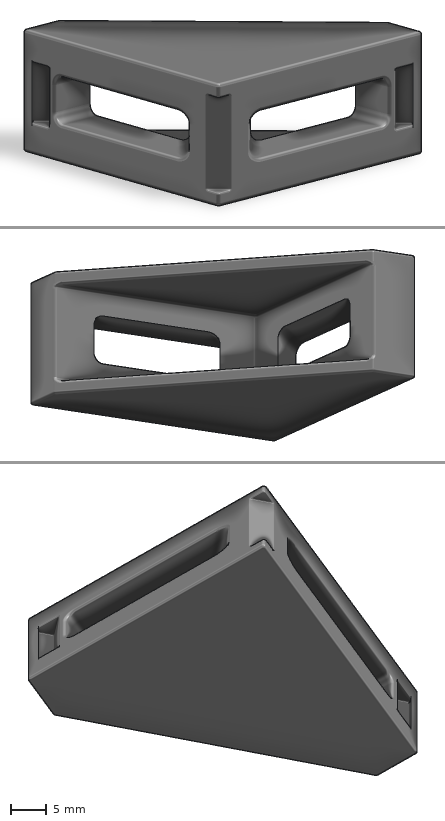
import cadquery as cq
import math

SIZE = 40.0
HEIGHT = 18.0
LEG = 7.0
EDGE_FILLET = 0.5

POCKET_HEIGHT = 14.0

SLOT_HEIGHT = 7.0
SLOT_CORNER_RADIUS = 1.5
SLOT_START = 6.5
SLOT_END = 34.0

KEY_HEIGHT = 9.0
KEY_START = 1.95
KEY_OPENING = 3.55
KEY_DEPTH = 3.4

NOTCH_HEIGHT = 14.0
NOTCH_LEG = 2.55

SMALL_RIM_FILLET = 0.25
SMALL_CORNER_FILLET = 0.2

HALF = SIZE / 2
FLOOR = -HALF + LEG
CUT_MARGIN = 5.0
TOUCH = 0.01
DIAGONAL = math.sqrt(0.5)


def prism(points, height):
    """Extrude an XY outline symmetrically about the mid plane."""
    return cq.Workplane("XY").polyline(points).close().extrude(height / 2, both=True)


def other_leg(shape):
    """Mirror (x, y) to (-y, -x), which swaps the lower leg and the leg along +X."""
    return shape.mirror("YZ").rotate((0, 0, 0), (0, 0, 1), 90)


def edges_in_box(body, low, high):
    """Edges whose midpoints lie between two opposite corners of a box."""
    return body.edges(cq.selectors.BoxSelector(low, high))


def make_body():
    """Square block with one corner cut off at 45 degrees."""
    return prism(
        [(-HALF, -HALF), (HALF, -HALF), (HALF, HALF), (-FLOOR, HALF), (-HALF, FLOOR)],
        HEIGHT,
    )


def make_pocket():
    """Square cutter whose two inner sides are the pocket floors on the legs."""
    reach = HALF + CUT_MARGIN
    pocket = prism([(-reach, FLOOR), (-FLOOR, FLOOR), (-FLOOR, reach), (-reach, reach)], POCKET_HEIGHT)
    return pocket.faces("<Y or >X").edges().fillet(EDGE_FILLET)


def round_outer_edges(body):
    """Round the outline, the top and bottom borders and the rim of the pocket."""
    outer_faces = body.faces("<X or >X or <Y or >Y or <Z or >Z or >(-1, 1, 0)")
    return outer_faces.edges().fillet(EDGE_FILLET)


def cut_slot(body):
    """Screw slot through the lower leg, with a 45 degree end towards the corner."""
    start = -HALF + SLOT_START
    end = -HALF + SLOT_END
    outside = -HALF - CUT_MARGIN
    slot = prism(
        [(start, outside), (end + CUT_MARGIN, outside), (end - LEG, FLOOR), (start, FLOOR)],
        SLOT_HEIGHT,
    )
    slot = slot.edges("(not |Z) and (not |X)").fillet(SLOT_CORNER_RADIUS)
    rim_low = (start - EDGE_FILLET, -HALF - TOUCH, -SLOT_HEIGHT)
    rim_high = (end + EDGE_FILLET, -HALF + TOUCH, SLOT_HEIGHT)
    return edges_in_box(body.cut(slot), rim_low, rim_high).fillet(EDGE_FILLET)


def cut_key_socket(body):
    """Blind socket in the lower leg, sunk at 45 degrees towards the free end."""
    start = -HALF + KEY_START
    end = start + KEY_OPENING
    run = KEY_DEPTH * DIAGONAL
    width_step = KEY_OPENING / 2
    near_floor = (end - run, -HALF + run)
    near_outside = (end + CUT_MARGIN, -HALF - CUT_MARGIN)
    far_floor = (near_floor[0] - width_step, near_floor[1] - width_step)
    far_outside = (near_outside[0] - width_step, near_outside[1] - width_step)
    socket = prism([near_floor, far_floor, far_outside, near_outside], KEY_HEIGHT)
    near_wall_and_floor = socket.faces(">(1, 1, 0) or >(-1, 1, 0)")
    body = body.cut(near_wall_and_floor.edges().fillet(SMALL_CORNER_FILLET))

    rim_low = (start + SMALL_RIM_FILLET, -HALF - TOUCH, -KEY_HEIGHT)
    rim_high = (end + TOUCH, -HALF + TOUCH, KEY_HEIGHT)
    return edges_in_box(body, rim_low, rim_high).fillet(SMALL_RIM_FILLET)


def cut_notch(body):
    """Bevel the middle of the corner between the mounting faces."""
    notch = prism(
        [
            (HALF - NOTCH_LEG - CUT_MARGIN, -HALF - CUT_MARGIN),
            (HALF + CUT_MARGIN, -HALF - CUT_MARGIN),
            (HALF + CUT_MARGIN, -HALF + NOTCH_LEG + CUT_MARGIN),
        ],
        NOTCH_HEIGHT,
    )
    notch = notch.faces("<(1, -1, 0)").edges("not |Z").fillet(SMALL_CORNER_FILLET)
    body = body.cut(notch)

    reach = NOTCH_LEG + TOUCH
    top = NOTCH_HEIGHT / 2 + TOUCH
    lower_rim = edges_in_box(body, (HALF - reach, -HALF - TOUCH, -top), (HALF, -HALF + TOUCH, top))
    side_rim = edges_in_box(body, (HALF - TOUCH, -HALF, -top), (HALF + TOUCH, -HALF + reach, top))
    return lower_rim.add(side_rim).fillet(SMALL_RIM_FILLET)


result = round_outer_edges(make_body().cut(make_pocket()))
for leg in range(2):
    result = cut_key_socket(cut_slot(result))
    result = other_leg(result)
result = cut_notch(result)